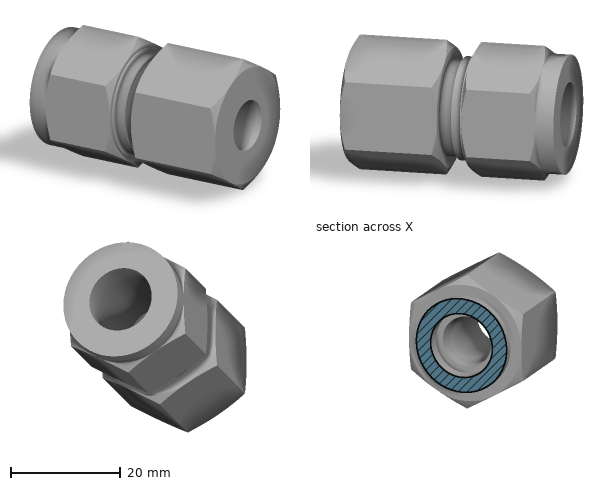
import cadquery as cq
import math

across_flats = 22.0
chamfer_angle = 30.0
collar_length = 3.5
tube_nut_length = 13.9
washer_diameter = 20.8
washer_length = 0.4
shoulder_diameter = 19.1
shoulder_length = 1.9
neck_diameter = 17.8
neck_length = 2.3
body_nut_length = 18.3
tube_bore_diameter = 12.0
tube_bore_depth = 23.0
through_bore_diameter = 9.5

tube_nut_start = collar_length
washer_start = tube_nut_start + tube_nut_length
shoulder_start = washer_start + washer_length
neck_start = shoulder_start + shoulder_length
body_nut_start = neck_start + neck_length
total_length = body_nut_start + body_nut_length

hex_sides = 6
corner_radius = across_flats / 2 / math.cos(math.pi / hex_sides)
chamfer_rise = corner_radius - across_flats / 2
chamfer_length = chamfer_rise * math.tan(math.radians(chamfer_angle))


def cylinder(start, length, diameter):
    """Round section along X beginning at the given position."""
    return cq.Workplane("YZ").workplane(offset=start).circle(diameter / 2).extrude(length)


def hex_nut(start, length):
    """Hexagonal prism along X with its corners chamfered at both ends."""
    prism = (
        cq.Workplane("YZ")
        .workplane(offset=start)
        .transformed(rotate=(0, 0, 90))
        .polygon(hex_sides, 2 * corner_radius)
        .extrude(length)
    )
    end = start + length
    envelope = (
        cq.Workplane("XY")
        .moveTo(start, 0)
        .lineTo(start, across_flats / 2)
        .lineTo(start + chamfer_length, corner_radius)
        .lineTo(end - chamfer_length, corner_radius)
        .lineTo(end, across_flats / 2)
        .lineTo(end, 0)
        .close()
        .revolve(360, (0, 0, 0), (1, 0, 0))
    )
    return prism.intersect(envelope)


collar = cylinder(0, collar_length, across_flats)
tube_nut = hex_nut(tube_nut_start, tube_nut_length)
washer = cylinder(washer_start, washer_length, washer_diameter)
shoulder = cylinder(shoulder_start, shoulder_length, shoulder_diameter)
neck = cylinder(neck_start, neck_length, neck_diameter)
body_nut = hex_nut(body_nut_start, body_nut_length)
body = collar.union(tube_nut).union(washer).union(shoulder).union(neck).union(body_nut)

tube_bore = cylinder(0, tube_bore_depth, tube_bore_diameter)
through_bore = cylinder(0, total_length, through_bore_diameter)

result = body.cut(tube_bore).cut(through_bore)